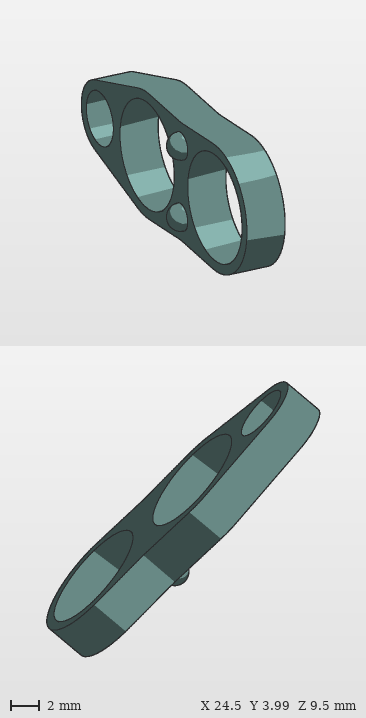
import cadquery as cq
import math

plate_thickness = 2.99
large_bore_diameter = 8.0
small_bore_diameter = 4.0
large_end_radius = 4.75
small_end_radius = 2.75
large_spacing = 10.0
small_spacing = 6.97
waist_tangent_offset = 0.3
waist_fillet_radius = 1.5
ball_radius = 1.0
ball_height = 2.7

small_x = -small_spacing
middle_x = 0
end_x = large_spacing
waist_x = (middle_x + end_x) / 2


def arc_point(center_x, radius, angle):
    """Point on an end circle, with the angle measured from +X toward +Z."""
    return (center_x + radius * math.cos(angle), radius * math.sin(angle))


def mirrored(point):
    """Reflect an outline point across the centreline."""
    return (point[0], -point[1])


def make_plate():
    taper_angle = math.acos((small_end_radius - large_end_radius) / small_spacing)
    small_tangent = arc_point(small_x, small_end_radius, taper_angle)
    middle_taper = arc_point(middle_x, large_end_radius, taper_angle)

    flank_angle = math.acos(waist_tangent_offset / large_end_radius)
    middle_flank = arc_point(middle_x, large_end_radius, flank_angle)
    end_flank = arc_point(end_x, large_end_radius, math.pi - flank_angle)
    middle_crest = arc_point(middle_x, large_end_radius, (taper_angle + flank_angle) / 2)
    flank_run = waist_x - middle_x
    waist_height = (large_end_radius - flank_run * math.cos(flank_angle)) / math.sin(flank_angle)

    plate = (
        cq.Workplane("XZ")
        .moveTo(*small_tangent)
        .lineTo(*middle_taper)
        .threePointArc(middle_crest, middle_flank)
        .lineTo(waist_x, waist_height)
        .lineTo(*end_flank)
        .threePointArc((end_x + large_end_radius, 0), mirrored(end_flank))
        .lineTo(waist_x, -waist_height)
        .lineTo(*mirrored(middle_flank))
        .threePointArc(mirrored(middle_crest), mirrored(middle_taper))
        .lineTo(*mirrored(small_tangent))
        .threePointArc((small_x - small_end_radius, 0), small_tangent)
        .close()
        .extrude(-plate_thickness)
    )
    waist_edges = cq.selectors.BoxSelector(
        (waist_x - waist_fillet_radius, 0, -large_end_radius),
        (waist_x + waist_fillet_radius, plate_thickness, large_end_radius),
    )
    return plate.edges("|Y").edges(waist_edges).fillet(waist_fillet_radius)


def make_bore(center_x, diameter):
    return cq.Workplane("XZ").center(center_x, 0).circle(diameter / 2).extrude(-plate_thickness)


result = make_plate()

for bore_x, bore_diameter in (
    (small_x, small_bore_diameter),
    (middle_x, large_bore_diameter),
    (end_x, large_bore_diameter),
):
    result = result.cut(make_bore(bore_x, bore_diameter))

for ball_z in (ball_height, -ball_height):
    ball = cq.Workplane("XZ").sphere(ball_radius).translate((waist_x, 0, ball_z))
    result = result.union(ball)